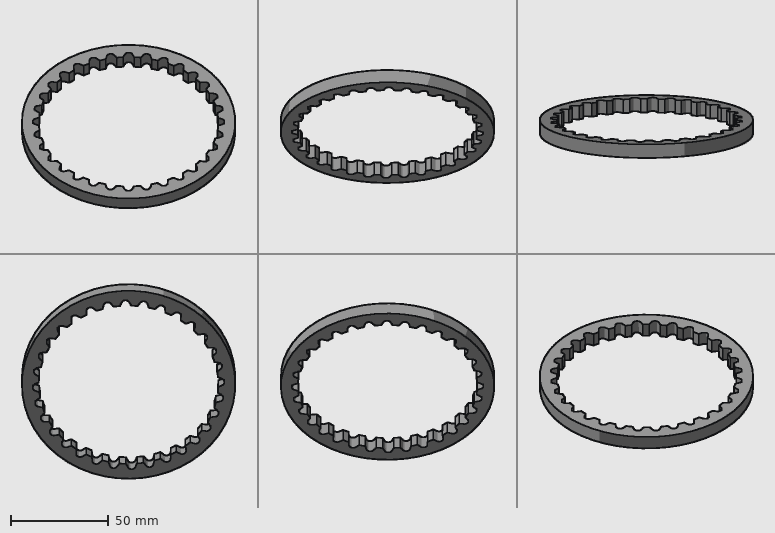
import cadquery as cq
import math

outer_diameter = 109.7
thickness = 7.2
bore_radius = 46.1

groove_count = 32
groove_root_radius = 49.3
groove_round_radius = 2.1
mouth_half_width = 2.9

round_center = groove_root_radius - groove_round_radius
mouth_distance = math.sqrt(bore_radius**2 - mouth_half_width**2)

corner_offset = mouth_distance - round_center
corner_distance = math.hypot(corner_offset, mouth_half_width)
corner_angle = math.atan2(mouth_half_width, corner_offset)
tangent_angle = corner_angle - math.acos(groove_round_radius / corner_distance)
tangent_x = round_center + groove_round_radius * math.cos(tangent_angle)
tangent_y = groove_round_radius * math.sin(tangent_angle)


def make_ring():
    return cq.Workplane("XY").circle(outer_diameter / 2).circle(bore_radius).extrude(thickness)


def make_groove():
    """Cutter for the groove on the +X axis, closed along a chord inside the bore."""
    return (
        cq.Workplane("XY")
        .moveTo(mouth_distance, -mouth_half_width)
        .lineTo(tangent_x, -tangent_y)
        .threePointArc((groove_root_radius, 0), (tangent_x, tangent_y))
        .lineTo(mouth_distance, mouth_half_width)
        .close()
        .extrude(thickness)
    )


result = make_ring()
groove = make_groove()
for index in range(groove_count):
    angle = index * 360 / groove_count
    result = result.cut(groove.rotate((0, 0, 0), (0, 0, 1), angle))